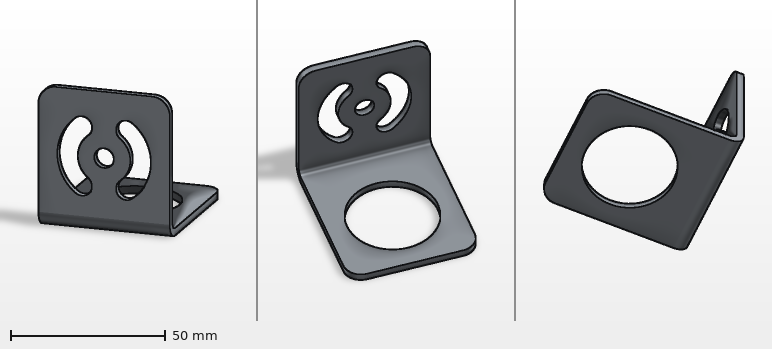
import cadquery as cq
import math

width = 45.0
depth = 53.0
height = 48.0
thickness = 2.6
inner_bend_radius = 2.6
outer_bend_radius = inner_bend_radius + thickness
corner_radius = 6.0

edge_to_hole = width / 2
base_hole_y = depth - edge_to_hole
upright_hole_z = height - edge_to_hole

base_hole_diameter = 31.05
pivot_hole_diameter = 6.6

slot_inner_radius = 9.0
slot_outer_radius = 16.0
slot_half_angle = 52.5
slot_mid_radius = (slot_inner_radius + slot_outer_radius) / 2


def bent_strip():
    """L-shaped strip centred on X, with its outer faces on the XY and XZ planes."""
    profile = (
        cq.Workplane("YZ")
        .moveTo(depth, 0)
        .lineTo(depth, thickness)
        .lineTo(outer_bend_radius, thickness)
        .radiusArc((thickness, outer_bend_radius), inner_bend_radius)
        .lineTo(thickness, height)
        .lineTo(0, height)
        .lineTo(0, outer_bend_radius)
        .radiusArc((outer_bend_radius, 0), -outer_bend_radius)
        .close()
    )
    return profile.extrude(width / 2, both=True)


def round_free_corners(body):
    """Round the two outer corners of each plate."""
    body = body.faces(">Y").edges("|Z").fillet(corner_radius)
    return body.faces(">Z").edges("|Y").fillet(corner_radius)


def polar_point(radius, angle):
    """Point at a radius and an angle in degrees, measured from the pivot hole."""
    turn = math.radians(angle)
    return (radius * math.cos(turn), radius * math.sin(turn))


def upright_plane():
    """Front face of the upright, centred on the pivot hole, with its normal along -Y."""
    return cq.Workplane("XZ", origin=(0, 0, upright_hole_z))


def curved_slot(middle_angle):
    """Cutter for an arc slot with rounded ends, centred on the given direction."""
    start = middle_angle - slot_half_angle
    end = middle_angle + slot_half_angle
    end_radius = (slot_outer_radius - slot_inner_radius) / 2
    start_centre = polar_point(slot_mid_radius, start)
    end_centre = polar_point(slot_mid_radius, end)
    band = (
        upright_plane()
        .moveTo(*polar_point(slot_inner_radius, start))
        .lineTo(*polar_point(slot_outer_radius, start))
        .threePointArc(polar_point(slot_outer_radius, middle_angle), polar_point(slot_outer_radius, end))
        .lineTo(*polar_point(slot_inner_radius, end))
        .threePointArc(polar_point(slot_inner_radius, middle_angle), polar_point(slot_inner_radius, start))
        .close()
        .extrude(-thickness)
    )
    rounded_ends = (
        upright_plane()
        .pushPoints([start_centre, end_centre])
        .circle(end_radius)
        .extrude(-thickness)
    )
    return band.union(rounded_ends)


bracket = round_free_corners(bent_strip())

base_hole = cq.Workplane("XY").center(0, base_hole_y).circle(base_hole_diameter / 2).extrude(thickness)
pivot_hole = upright_plane().circle(pivot_hole_diameter / 2).extrude(-thickness)
bracket = bracket.cut(base_hole).cut(pivot_hole)

for side_angle in (0, 180):
    bracket = bracket.cut(curved_slot(side_angle))

result = bracket